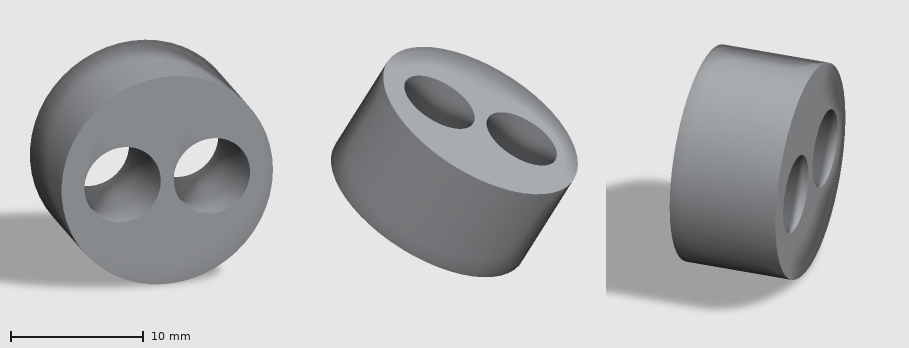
import cadquery as cq

body_diameter = 16.6
body_length = 8.4
hole_diameter = 6.0
hole_spacing = 7.0

body = cq.Workplane("YZ").circle(body_diameter / 2).extrude(body_length)

hole_centres = [(-hole_spacing / 2, 0), (hole_spacing / 2, 0)]
holes = (
    cq.Workplane("YZ")
    .pushPoints(hole_centres)
    .circle(hole_diameter / 2)
    .extrude(body_length)
)

result = body.cut(holes)